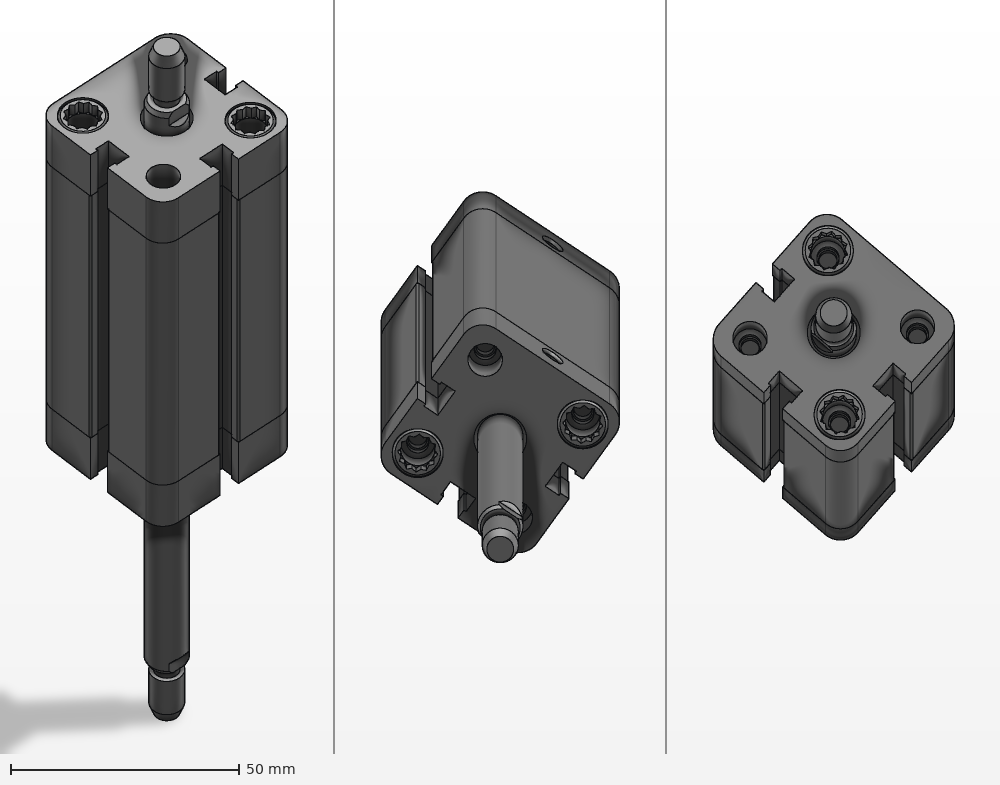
import math

import cadquery as cq

housing_width = 40.4
corner_radius = 5.0
housing_length = 99.0
cap_length = 12.5
tube_length = housing_length - 2 * cap_length

slot_opening = 5.5
slot_width = 6.7
slot_depth = 5.9
slot_lip = 2.2
slot_angles = (-90, 0, 90)
slot_mouth_bevel = 0.5

hole_spacing = 26.0
seat_diameter = 7.5
seat_depth = 8.1
thread_diameter = 4.9
thread_depth = 10.2
core_diameter = 4.0

head_diameter = 11.2
head_groove_size = 0.6
socket_points = 12
socket_outer_diameter = 8.7
socket_inner_diameter = 7.5
socket_depth = 3.0

port_diameter = 4.0
port_mouth_diameter = 5.5
port_mouth_depth = (port_mouth_diameter - port_diameter) / 2
port_depth = 6.0
port_inset = 7.7

rod_diameter = 10.0
rod_length = 203.0
rod_top = 120.8
rod_bottom = rod_top - rod_length
stud_diameter = 8.0
stud_tip_diameter = 5.9
stud_tip_length = 2.8
stud_thread_length = 13.0
stud_neck_diameter = 5.9
stud_length = 15.8
shoulder_chamfer = 0.6
shoulder_chamfer_length = 1.2

flat_spacing = 8.0
flat_length = 3.5
flat_cut_depth = (rod_diameter - flat_spacing) / 2

lead_in_diameter = 11.5
lead_in_depth = 2.0


def cylinder(diameter, length, x=0, y=0, bottom=0):
    return cq.Workplane("XY", origin=(x, y, bottom)).circle(diameter / 2).extrude(length)


def slot_cutter(length, mouth_bevel):
    """T-slot in the +X side, with an optional bevel along both edges of its mouth."""
    outer = housing_width / 2
    floor = outer - slot_depth
    lip = outer - slot_lip
    half_opening = slot_opening / 2
    half_width = slot_width / 2
    half_outline = [(floor, half_width), (lip, half_width), (lip, half_opening)]
    half_outline.append((outer - mouth_bevel, half_opening))
    if mouth_bevel:
        half_outline.append((outer, half_opening + mouth_bevel))
    other_half = [(x, -y) for x, y in reversed(half_outline)]
    return cq.Workplane("XY").polyline(half_outline + other_half).close().extrude(length)


def housing_section(length, mouth_bevel=0.0):
    """Square housing profile with rounded corners, T-slots and the rod hole."""
    section = cq.Workplane("XY").rect(housing_width, housing_width).extrude(length)
    section = section.edges("|Z").fillet(corner_radius)
    slot = slot_cutter(length, mouth_bevel)
    for angle in slot_angles:
        section = section.cut(slot.rotate((0, 0, 0), (0, 0, 1), angle))
    return section.cut(cylinder(rod_diameter, length))


def corner_hole(x, y):
    """Seat, thread and core diameters, going down from the top of a cap."""
    seat = cylinder(seat_diameter, seat_depth, x, y, cap_length - seat_depth)
    thread = cylinder(thread_diameter, thread_depth, x, y, cap_length - thread_depth)
    core = cylinder(core_diameter, cap_length, x, y)
    return seat.union(thread).union(core)


def screw_head(x, y):
    """Bevelled ring groove and star socket of a screw head in the top of a cap."""
    head_radius = head_diameter / 2
    groove_outline = [
        (head_radius - head_groove_size, 0),
        (head_radius, 0),
        (head_radius, -head_groove_size),
    ]
    groove = cq.Workplane("XZ").polyline(groove_outline).close().revolve(360, (0, 0, 0), (0, 1, 0))
    star = []
    for i in range(2 * socket_points):
        radius = (socket_outer_diameter if i % 2 == 0 else socket_inner_diameter) / 2
        angle = math.pi * i / socket_points
        star.append((radius * math.cos(angle), radius * math.sin(angle)))
    socket = cq.Workplane("XY").polyline(star).close().extrude(-socket_depth)
    return groove.translate((x, y, cap_length)), socket.translate((x, y, cap_length))


def air_port():
    """Blind port with a countersunk mouth in the -X side."""
    outline = [
        (0, 0),
        (port_mouth_diameter / 2, 0),
        (port_diameter / 2, port_mouth_depth),
        (port_diameter / 2, port_depth),
        (0, port_depth),
    ]
    port = cq.Workplane("XY").polyline(outline).close().revolve(360, (0, 0, 0), (0, 1, 0))
    port = port.rotate((0, 0, 0), (0, 0, 1), -90)
    return port.translate((-housing_width / 2, 0, cap_length - port_inset))


def rod_lead_in():
    outline = [(0, -lead_in_depth), (rod_diameter / 2, -lead_in_depth), (lead_in_diameter / 2, 0), (0, 0)]
    cone = cq.Workplane("XZ").polyline(outline).close().revolve(360, (0, 0, 0), (0, 1, 0))
    return cone.translate((0, 0, cap_length))


def make_cap():
    """End cap with its inner face on Z = 0 and its outer face up."""
    cap = housing_section(cap_length)
    corner = hole_spacing / 2
    for x in (-corner, corner):
        for y in (-corner, corner):
            cap = cap.cut(corner_hole(x, y))
        groove, socket = screw_head(x, x)
        cap = cap.cut(groove).cut(socket)
    return cap.cut(air_port()).cut(rod_lead_in())


def stud_profile(end_z, inward):
    """Radius and Z of a stud, from its tip to the full rod diameter."""
    rod_radius = rod_diameter / 2
    steps = [
        (stud_tip_diameter / 2, 0),
        (stud_diameter / 2, stud_tip_length),
        (stud_diameter / 2, stud_thread_length),
        (stud_neck_diameter / 2, stud_thread_length),
        (stud_neck_diameter / 2, stud_length),
        (rod_radius - shoulder_chamfer, stud_length),
        (rod_radius, stud_length + shoulder_chamfer_length),
    ]
    return [(radius, end_z + inward * distance) for radius, distance in steps]


def wrench_flat(end_z, inward, side):
    """Cutter for one flat that runs out to the rod surface at 45 degrees."""
    flat_x = side * flat_spacing / 2
    rod_x = side * rod_diameter / 2
    shoulder_z = end_z + inward * stud_length
    flat_end_z = shoulder_z + inward * flat_length
    run_out_z = flat_end_z + inward * flat_cut_depth
    outline = [(flat_x, shoulder_z), (flat_x, flat_end_z), (rod_x, run_out_z), (rod_x, shoulder_z)]
    return cq.Workplane("XZ").polyline(outline).close().extrude(rod_diameter / 2, both=True)


def make_rod():
    lower = stud_profile(rod_bottom, 1)
    upper = stud_profile(rod_top, -1)
    outline = [(0, rod_bottom)] + lower + upper[::-1] + [(0, rod_top)]
    rod = cq.Workplane("XZ").polyline(outline).close().revolve(360, (0, 0, 0), (0, 1, 0))
    for end_z, inward in ((rod_bottom, 1), (rod_top, -1)):
        for side in (-1, 1):
            rod = rod.cut(wrench_flat(end_z, inward, side))
    return rod


tube = housing_section(tube_length, slot_mouth_bevel).translate((0, 0, cap_length))

cap = make_cap()
top_cap = cap.translate((0, 0, housing_length - cap_length))
bottom_cap = cap.mirror("XY").translate((0, 0, cap_length))

rod = make_rod()

result = cq.Compound.makeCompound([tube.val(), top_cap.val(), bottom_cap.val(), rod.val()])